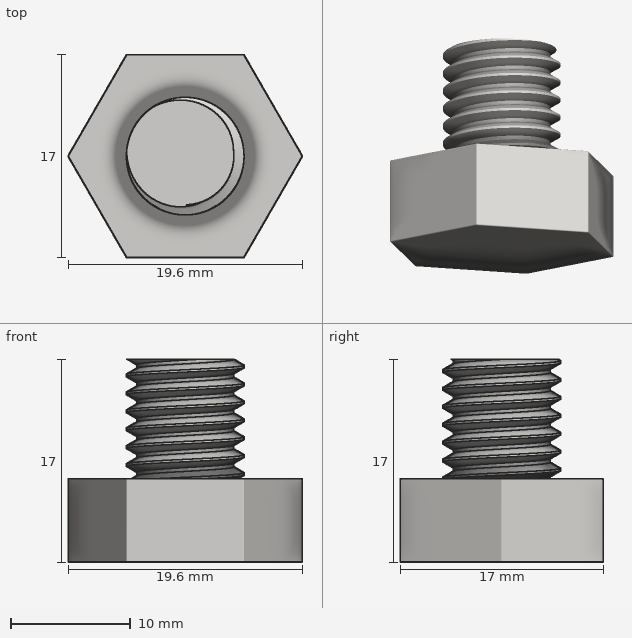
import cadquery as cq
import math

ACROSS_FLATS = 17.0
HEAD_HEIGHT = 7.0
HEAD_EDGE_RADIUS = 0.1
ACROSS_CORNERS = ACROSS_FLATS / math.cos(math.radians(30))

SHANK_LENGTH = 10.0
MAJOR_DIAMETER = 9.85
MINOR_DIAMETER = 8.14
PITCH = 1.5
CREST_FLAT = 0.2
FLANK_ANGLE = 30.0
CREST_BELOW_TIP = 0.62

OVERRUN_TURNS = 2
GROOVE_OVERCUT = 0.1

TIP_HEIGHT = HEAD_HEIGHT + SHANK_LENGTH


def make_head():
    """Hexagonal prism with every edge slightly rounded."""
    prism = cq.Workplane("XY").polygon(6, ACROSS_CORNERS).extrude(HEAD_HEIGHT)
    return prism.edges().fillet(HEAD_EDGE_RADIUS)


def make_groove():
    """Right-handed helical cutter with a trapezoidal section, longer than the shank."""
    root_radius = MINOR_DIAMETER / 2
    thread_depth = (MAJOR_DIAMETER - MINOR_DIAMETER) / 2
    mouth_radius = MAJOR_DIAMETER / 2 + GROOVE_OVERCUT
    flank_slope = math.tan(math.radians(FLANK_ANGLE))
    half_root = (PITCH - CREST_FLAT) / 2 - thread_depth * flank_slope
    half_mouth = half_root + (mouth_radius - root_radius) * flank_slope

    shank_turns = math.ceil(SHANK_LENGTH / PITCH)
    turns = shank_turns + OVERRUN_TURNS
    first_groove_height = TIP_HEIGHT - CREST_BELOW_TIP - PITCH / 2
    start_height = first_groove_height - shank_turns * PITCH

    section = (
        cq.Workplane("XZ")
        .moveTo(root_radius, -half_root)
        .lineTo(mouth_radius, -half_mouth)
        .lineTo(mouth_radius, half_mouth)
        .lineTo(root_radius, half_root)
        .close()
    )
    helix = cq.Wire.makeHelix(PITCH, turns * PITCH, root_radius)
    groove = section.sweep(cq.Workplane(obj=helix), isFrenet=True)
    return groove.translate((0, 0, start_height))


def make_shank():
    """Cylinder with the thread groove cut into it, square at the tip and at the head."""
    base = cq.Workplane("XY").workplane(offset=HEAD_HEIGHT)
    blank = base.circle(MAJOR_DIAMETER / 2).extrude(SHANK_LENGTH)
    trim_block = base.rect(2 * MAJOR_DIAMETER, 2 * MAJOR_DIAMETER).extrude(SHANK_LENGTH)
    return blank.cut(make_groove().intersect(trim_block))


result = make_head().union(make_shank())